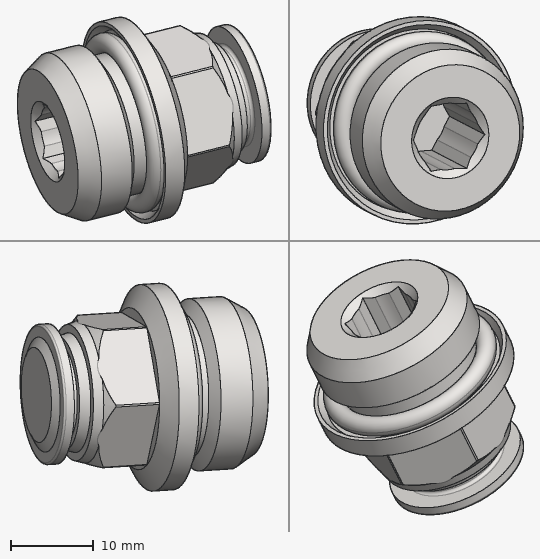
import cadquery as cq
import math

LENGTH = 26.5

SPIGOT_R = 10.43
SPIGOT_TIP_R = 9.0
SPIGOT_TIP_Y = 2.45
SPIGOT_BACK_Y = 6.5
RELIEF_R = 8.75
RELIEF_Y = 7.5

FLANGE_R = 12.5
FLANGE_Y = 10.0
FLANGE_RIM_Y = 12.5
FLANGE_TOP_Y = 14.1
FLANGE_TOP_R = 9.8
RECESS_MOUTH_R = 12.0
RECESS_FLOOR_R = 11.25
RECESS_FLOOR_Y = 11.1

O_RING_OUTER_R = 11.15
O_RING_WIRE_R = 1.22
O_RING_Y = 9.95

HEX_ACROSS_FLATS = 17.0
HEX_CORNER_R = 9.75
COLLAR_BOTTOM_R = 8.6
COLLAR_TOP_R = 8.25
COLLAR_BOTTOM_Y = 20.8
COLLAR_TOP_Y = 22.0
HEX_CHAMFER_Y = COLLAR_BOTTOM_Y - (HEX_CORNER_R - COLLAR_BOTTOM_R)

STEP_BOTTOM_R = 7.25
STEP_TOP_R = 6.85
STEP_TOP_Y = 23.3
SLEEVE_NECK_R = 6.0
SLEEVE_NECK_FILLET = 0.4
DISC_R = 8.5
DISC_BOTTOM_Y = 24.5
DISC_TOP_Y = 25.8
DISC_EDGE_FILLET = 0.25
SLEEVE_CONE_R = 6.95
SLEEVE_END_R = 5.75

SOCKET_ACROSS_FLATS = 8.0
SOCKET_PILOT_R = 4.1
SOCKET_MOUTH_R = 5.0
SOCKET_DEPTH = 12.0
COUNTERSINK_HALF_ANGLE = 45.0

ARC_MID = math.sqrt(0.5)


def turned(profile):
    """Revolve a closed (radius, y) profile about the Y axis."""
    return profile.close().revolve(360, (0, 0, 0), (0, 1, 0))


def disc(radius, start_y, length):
    """Cylinder along +Y."""
    return cq.Workplane("XZ", origin=(0, start_y, 0)).circle(radius).extrude(-length)


def hexagon(across_flats, start_y, length):
    """Hexagonal prism along +Y with flats facing +Z and -Z."""
    across_corners = across_flats / math.cos(math.pi / 6)
    return cq.Workplane("XZ", origin=(0, start_y, 0)).polygon(6, across_corners).extrude(-length)


def spigot_and_flange():
    return turned(
        cq.Workplane("XY")
        .moveTo(0, 0)
        .lineTo(SPIGOT_TIP_R, 0)
        .lineTo(SPIGOT_R, SPIGOT_TIP_Y)
        .lineTo(SPIGOT_R, SPIGOT_BACK_Y)
        .lineTo(RELIEF_R, RELIEF_Y)
        .lineTo(RELIEF_R, RECESS_FLOOR_Y)
        .lineTo(RECESS_FLOOR_R, RECESS_FLOOR_Y)
        .lineTo(RECESS_MOUTH_R, FLANGE_Y)
        .lineTo(FLANGE_R, FLANGE_Y)
        .lineTo(FLANGE_R, FLANGE_RIM_Y)
        .lineTo(FLANGE_TOP_R, FLANGE_TOP_Y)
        .lineTo(0, FLANGE_TOP_Y)
    )


def o_ring():
    wire_center_r = O_RING_OUTER_R - O_RING_WIRE_R
    wire = cq.Workplane("XY").center(wire_center_r, O_RING_Y).circle(O_RING_WIRE_R)
    return wire.revolve(360, (-wire_center_r, 0, 0), (-wire_center_r, 1, 0))


def wrench_body():
    blank = turned(
        cq.Workplane("XY")
        .moveTo(0, FLANGE_TOP_Y)
        .lineTo(HEX_CORNER_R, FLANGE_TOP_Y)
        .lineTo(HEX_CORNER_R, HEX_CHAMFER_Y)
        .lineTo(COLLAR_BOTTOM_R, COLLAR_BOTTOM_Y)
        .lineTo(COLLAR_TOP_R, COLLAR_TOP_Y)
        .lineTo(0, COLLAR_TOP_Y)
    )
    return blank.intersect(hexagon(HEX_ACROSS_FLATS, FLANGE_TOP_Y, COLLAR_TOP_Y - FLANGE_TOP_Y))


def release_sleeve():
    neck_arc_inset = SLEEVE_NECK_FILLET * (1 - ARC_MID)
    disc_arc_inset = DISC_EDGE_FILLET * (1 - ARC_MID)
    return turned(
        cq.Workplane("XY")
        .moveTo(0, COLLAR_TOP_Y)
        .lineTo(STEP_BOTTOM_R, COLLAR_TOP_Y)
        .lineTo(STEP_TOP_R, STEP_TOP_Y)
        .lineTo(SLEEVE_NECK_R, STEP_TOP_Y)
        .lineTo(SLEEVE_NECK_R, DISC_BOTTOM_Y - SLEEVE_NECK_FILLET)
        .threePointArc(
            (SLEEVE_NECK_R + neck_arc_inset, DISC_BOTTOM_Y - neck_arc_inset),
            (SLEEVE_NECK_R + SLEEVE_NECK_FILLET, DISC_BOTTOM_Y),
        )
        .lineTo(DISC_R, DISC_BOTTOM_Y)
        .lineTo(DISC_R, DISC_TOP_Y - DISC_EDGE_FILLET)
        .threePointArc(
            (DISC_R - disc_arc_inset, DISC_TOP_Y - disc_arc_inset),
            (DISC_R - DISC_EDGE_FILLET, DISC_TOP_Y),
        )
        .lineTo(SLEEVE_CONE_R, DISC_TOP_Y)
        .lineTo(SLEEVE_END_R, LENGTH)
        .lineTo(0, LENGTH)
    )


def socket():
    """Hexagon with a slightly larger pilot bore and a countersunk mouth."""
    cone_depth = SOCKET_MOUTH_R / math.tan(math.radians(COUNTERSINK_HALF_ANGLE))
    countersink = turned(
        cq.Workplane("XY")
        .moveTo(0, 0)
        .lineTo(SOCKET_MOUTH_R, 0)
        .lineTo(0, cone_depth)
    )
    flats = hexagon(SOCKET_ACROSS_FLATS, 0, SOCKET_DEPTH)
    return flats.union(disc(SOCKET_PILOT_R, 0, SOCKET_DEPTH)).union(countersink)


body = spigot_and_flange().union(o_ring()).union(wrench_body()).union(release_sleeve())
result = body.cut(socket())